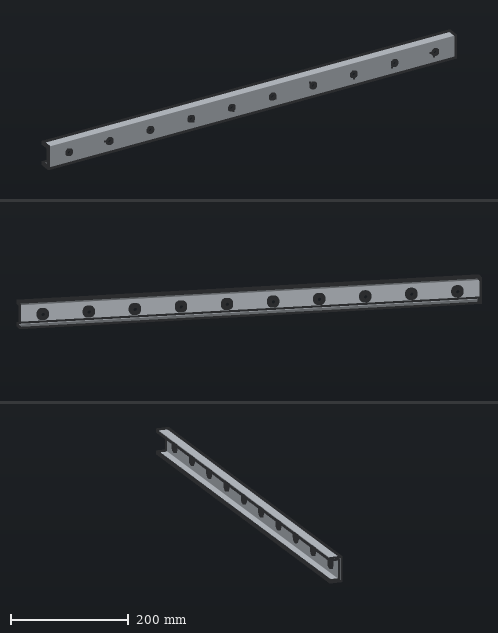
import cadquery as cq

length = 800.0
width = 21.0
height = 43.0
web_thickness = 5.0
flange_thickness = 4.0
root_radius = 1.0
outer_radius = 1.0

hole_count = 10
hole_pitch = length / hole_count
hole_diameter = 10.0
counterbore_diameter = 18.0
counterbore_depth = web_thickness / 2

web_inner_x = width / 2 - web_thickness


def make_channel():
    """Channel section running along Y, with rounded roots, outer corners and flange tips."""
    body = cq.Workplane("XY").box(width, length, height).edges("|Y").fillet(outer_radius)
    cavity_width = width - web_thickness
    cavity_height = height - 2 * flange_thickness
    cavity = (
        cq.Workplane("XY")
        .box(cavity_width, length, cavity_height)
        .edges("|Y and >X")
        .fillet(root_radius)
        .translate((-web_thickness / 2, 0, 0))
    )
    return body.cut(cavity)


def cylinder_row(diameter, depth):
    """Row of cylinders entering the web from its inner face."""
    return (
        cq.Workplane("YZ", origin=(web_inner_x, 0, 0))
        .rarray(hole_pitch, 8, hole_count, 1)
        .circle(diameter / 2)
        .extrude(depth)
    )


result = (
    make_channel()
    .cut(cylinder_row(hole_diameter, web_thickness))
    .cut(cylinder_row(counterbore_diameter, counterbore_depth))
)